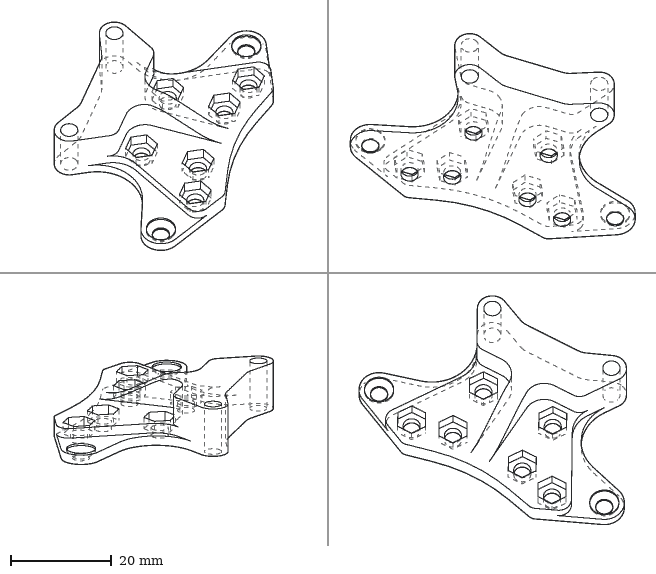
import math

import cadquery as cq

base_top = 2.0
plate_top = 4.0
block_top = 10.0

screw_diameter = 3.4
ear_center = (0.0, 13.75)
ear_radius = 3.0
tip_center = (23.5, 26.0)
tip_radius = 4.0
countersink_diameter = 5.8
countersink_rim_depth = 0.4
countersink_cone_depth = 1.2

ear_outer_angle = 114.0
ear_inner_angle = -30.0
tip_inner_angle = 73.5
tip_outer_angle = -65.0
flank_angle = -104.0
shoulder_angle = 30.0

waist_x = -0.18
flank_point = (32.08, 10.8)
shoulder_point = (13.7, 12.8)
block_wall_x = 9.3

waist_radius = 4.0
bay_radius = 9.0
flank_radius = 2.0
hollow_radius = 36.0
plate_inner_radius = 6.0
plate_outer_radius = 2.5
block_shoulder_radius = 2.4
rib_root_radius = 4.0

rib_width = 4.2
slope_start_x = 14.3
slope_end_x = 25.4
slope_blend_radius = 10.0
rib_end_x = 28.5

nut_centers = [(13.2, 8.0), (25.1, 8.0), (27.35, 16.2)]
nut_corner_diameter = 6.4
nut_depth = 2.4


def direction(angle):
    return math.cos(math.radians(angle)), math.sin(math.radians(angle))


def tangent_line(center, radius, angle):
    """Line in the given direction that keeps a circle on its right-hand side."""
    normal = direction(angle + 90)
    point = (center[0] + radius * normal[0], center[1] + radius * normal[1])
    return point, angle


def meet(first, second):
    """Intersection of two lines, each a point and an angle."""
    (x1, y1), angle1 = first
    (x2, y2), angle2 = second
    ux, uy = direction(angle1)
    vx, vy = direction(angle2)
    distance = ((x2 - x1) * vy - (y2 - y1) * vx) / (ux * vy - uy * vx)
    return x1 + distance * ux, y1 + distance * uy


def mirrored(corners):
    """Close a half outline with its mirror image about y = 0."""
    lower = [((x, -y), radius) for (x, y), radius in reversed(corners) if y > 0]
    return corners + lower


def rounded_outline(corners, plane="XY"):
    """Closed wire through (point, radius) corners; radius 0 keeps a corner sharp."""
    stretches = []
    for index, (corner, radius) in enumerate(corners):
        here = cq.Vector(*corner)
        to_last = (cq.Vector(*corners[index - 1][0]) - here).normalized()
        to_next = (cq.Vector(*corners[(index + 1) % len(corners)][0]) - here).normalized()
        half_angle = to_last.getAngle(to_next) / 2
        setback = radius / math.tan(half_angle)
        bisector = (to_last + to_next).normalized()
        middle = here + bisector * (radius / math.sin(half_angle) - radius)
        stretches.append((here + to_last * setback, middle, here + to_next * setback, radius))

    outline = cq.Workplane(plane).moveTo(*stretches[0][0].toTuple()[:2])
    for index, (start, middle, end, radius) in enumerate(stretches):
        if index > 0:
            outline = outline.lineTo(start.x, start.y)
        if radius > 0:
            outline = outline.threePointArc((middle.x, middle.y), (end.x, end.y))
    return outline.close()


waist = ((waist_x, 0), 90)
ear_outer = tangent_line(ear_center, ear_radius, ear_outer_angle)
ear_inner = tangent_line(ear_center, ear_radius, ear_inner_angle)
tip_inner = tangent_line(tip_center, tip_radius, tip_inner_angle)
tip_outer = tangent_line(tip_center, tip_radius, tip_outer_angle)
flank = (flank_point, flank_angle)
shoulder = (shoulder_point, shoulder_angle)
block_wall = ((block_wall_x, 0), -90)
center_line = ((0, 0), 0)
rib_side = ((0, rib_width / 2), 0)

ear_corners = [
    (meet(waist, ear_outer), waist_radius),
    (meet(ear_outer, ear_inner), ear_radius),
]
flank_corners = [
    (meet(tip_outer, flank), flank_radius),
    ((meet(flank, center_line)[0], 0), hollow_radius),
]


def make_base():
    corners = ear_corners + [
        (meet(ear_inner, tip_inner), bay_radius),
        (meet(tip_inner, tip_outer), tip_radius),
    ] + flank_corners
    return rounded_outline(mirrored(corners)).extrude(base_top)


def make_plate():
    corners = ear_corners + [
        (meet(ear_inner, shoulder), plate_inner_radius),
        (meet(shoulder, tip_outer), plate_outer_radius),
    ] + flank_corners
    return rounded_outline(mirrored(corners)).extrude(plate_top)


def make_block():
    """Tall block joining the ears, with the sloping rib growing out of its middle."""
    corners = ear_corners + [
        (meet(ear_inner, block_wall), block_shoulder_radius),
        (meet(block_wall, rib_side), rib_root_radius),
        ((rib_end_x, rib_width / 2), 0),
    ]
    block = rounded_outline(mirrored(corners)).extrude(block_top)
    side_profile = [
        ((ear_center[0] - ear_radius, 0), 0),
        ((ear_center[0] - ear_radius, block_top), 0),
        ((slope_start_x, block_top), slope_blend_radius),
        ((slope_end_x, plate_top), slope_blend_radius),
        ((rib_end_x, plate_top), 0),
        ((rib_end_x, 0), 0),
    ]
    half_width = ear_center[1] + ear_radius
    envelope = rounded_outline(side_profile, "XZ").extrude(half_width, both=True)
    return block.intersect(envelope)


def make_ear_hole():
    return cq.Workplane("XY").circle(screw_diameter / 2).extrude(block_top)


def make_countersink():
    """Screw hole with a cone above it and a short straight rim at the base's top face."""
    cone_top = base_top - countersink_rim_depth
    cone_bottom = cone_top - countersink_cone_depth
    half_section = [
        (0, 0),
        (screw_diameter / 2, 0),
        (screw_diameter / 2, cone_bottom),
        (countersink_diameter / 2, cone_top),
        (countersink_diameter / 2, base_top),
        (0, base_top),
    ]
    return cq.Workplane("XZ").polyline(half_section).close().revolve(360, (0, 0), (0, 1))


def make_nut_hole():
    """Screw hole under a hexagonal nut pocket that has corners toward +Y and -Y."""
    pocket = (
        cq.Workplane("XY", origin=(0, 0, plate_top - nut_depth))
        .polygon(6, nut_corner_diameter)
        .extrude(nut_depth)
        .rotate((0, 0, 0), (0, 0, 1), 90)
    )
    shaft = cq.Workplane("XY").circle(screw_diameter / 2).extrude(plate_top)
    return pocket.union(shaft)


def cut_mirrored(body, tool, center):
    """Cut the tool at a center and at its mirror image about y = 0."""
    x, y = center
    return body.cut(tool.translate((x, y, 0))).cut(tool.translate((x, -y, 0)))


body = make_base().union(make_plate()).union(make_block())
body = cut_mirrored(body, make_ear_hole(), ear_center)
body = cut_mirrored(body, make_countersink(), tip_center)
for nut_center in nut_centers:
    body = cut_mirrored(body, make_nut_hole(), nut_center)

result = body.solids()